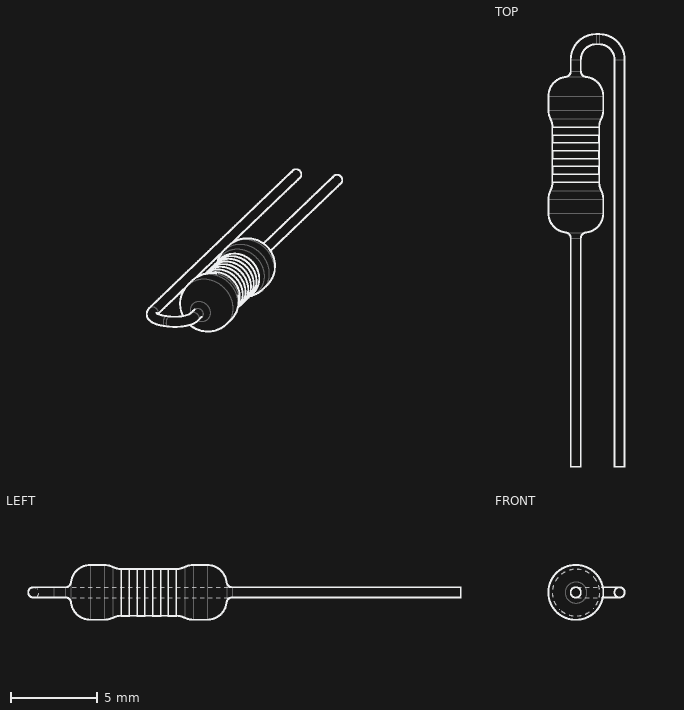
import math

import cadquery as cq


wire_diameter = 0.6
lead_pitch = 2.54
bend_radius = 1.18
bend_start_y = 5.52
overall_length = 25.1

cap_diameter = 3.2
waist_diameter = 2.72
cap_inner_y = 2.57
cap_outer_y = 3.4
body_end_y = 4.515
neck_radius = 0.32

band_diameter = 2.74
band_count = 4
band_width = 0.454

wire_radius = wire_diameter / 2
cap_radius = cap_diameter / 2
waist_radius = waist_diameter / 2
band_pitch = 2 * band_width
banded_length = band_pitch * (band_count - 1) + band_width
waist_end_y = banded_length / 2

neck_base_radius = wire_radius + neck_radius
neck_end_y = body_end_y + neck_radius

lead_end_y = bend_start_y + bend_radius + wire_radius - overall_length


def make_rod(start_y, length, diameter):
    """Round rod along the body axis, running in +Y from start_y."""
    base = cq.Workplane("XZ", origin=(0, start_y, 0))
    return base.circle(diameter / 2).extrude(-length)


def end_edges(side):
    """Outline of one end from waist to lead: shoulder, cap, dome and neck (side is 1 for +Y, -1 for -Y)."""

    def at(radius, distance):
        return cq.Vector(radius, side * distance, 0)

    waist_end = at(waist_radius, waist_end_y)
    shoulder_middle = at((waist_radius + cap_radius) / 2, (waist_end_y + cap_inner_y) / 2)
    cap_inner = at(cap_radius, cap_inner_y)
    cap_outer = at(cap_radius, cap_outer_y)
    dome_end = at(neck_base_radius, body_end_y)
    neck_offset = neck_radius * math.cos(math.pi / 4)
    neck_middle = at(neck_base_radius - neck_offset, neck_end_y - neck_offset)
    neck_end = at(wire_radius, neck_end_y)
    outward = cq.Vector(0, side, 0)
    return [
        cq.Edge.makeTangentArc(waist_end, outward, shoulder_middle),
        cq.Edge.makeTangentArc(cap_inner, -outward, shoulder_middle),
        cq.Edge.makeLine(cap_inner, cap_outer),
        cq.Edge.makeTangentArc(cap_outer, outward, dome_end),
        cq.Edge.makeThreePointArc(dome_end, neck_middle, neck_end),
        cq.Edge.makeLine(neck_end, at(0, neck_end_y)),
    ]


def make_body():
    """Turned body with the raised colour bands."""
    waist = cq.Edge.makeLine(cq.Vector(waist_radius, -waist_end_y, 0), cq.Vector(waist_radius, waist_end_y, 0))
    axis = cq.Edge.makeLine(cq.Vector(0, -neck_end_y, 0), cq.Vector(0, neck_end_y, 0))
    outline = cq.Wire.assembleEdges([waist] + end_edges(1) + [axis] + end_edges(-1))
    body = cq.Workplane("XY").add(outline).toPending().revolve(360, (0, 0, 0), (0, 1, 0))
    for index in range(band_count):
        band_start_y = index * band_pitch - waist_end_y
        body = body.union(make_rod(band_start_y, band_width, band_diameter))
    return body


def make_folded_lead():
    """Lead that leaves the +Y end and turns back beside the body through two quarter bends."""
    bend_top_y = bend_start_y + bend_radius
    bend_offset = bend_radius * math.cos(math.pi / 4)
    second_centre_x = lead_pitch - bend_radius
    path = (
        cq.Workplane("XY")
        .lineTo(0, bend_start_y)
        .threePointArc((bend_radius - bend_offset, bend_start_y + bend_offset), (bend_radius, bend_top_y))
        .lineTo(second_centre_x, bend_top_y)
        .threePointArc(
            (second_centre_x + bend_offset, bend_start_y + bend_offset),
            (lead_pitch, bend_start_y),
        )
        .lineTo(lead_pitch, lead_end_y)
    )
    return cq.Workplane("XZ").circle(wire_radius).sweep(path)


straight_lead = make_rod(lead_end_y, -lead_end_y, wire_diameter)

result = make_body().union(straight_lead).union(make_folded_lead())